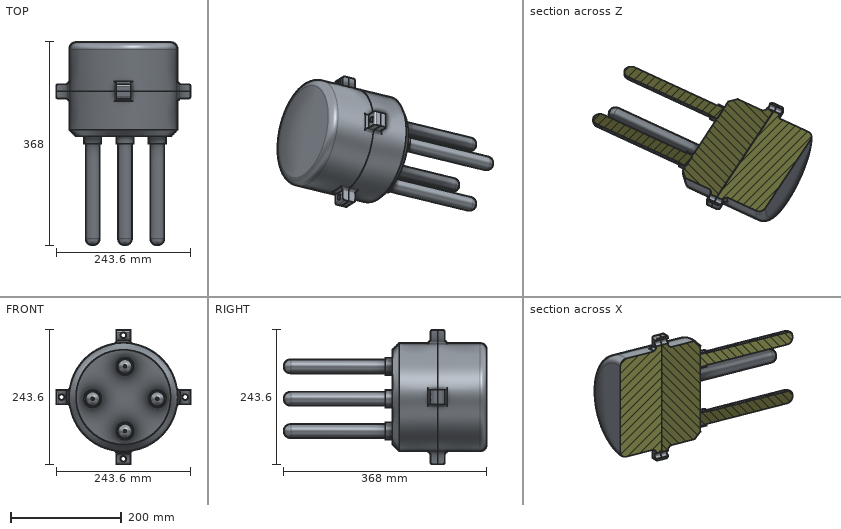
import cadquery as cq
import math


BODY_RADIUS = 98.2
REAR_LENGTH = 89.5
FRONT_LENGTH = 81.5
REAR_FILLET = 13.0
FRONT_CHAMFER = 12.5
FRONT_FACE_Y = -FRONT_LENGTH

LUG_COUNT = 4
LUG_TIP_RADIUS = 121.8
LUG_WIDTH = 26.0
LUG_LENGTH = LUG_WIDTH
LUG_TIP_FILLET = 4.0
LUG_ROOT_FILLET = 4.5
LUG_ROOT_CHAMFER = 4.8
LUG_HOLE_DIAMETER = 10.0
LUG_HOLE_INSET = 10.0

PIN_COUNT = 4
PIN_CIRCLE_RADIUS = 58.5
PIN_CIRCLE_OFFSET = 3.0
PIN_CIRCLE_X = PIN_CIRCLE_OFFSET
PIN_CIRCLE_Z = -PIN_CIRCLE_OFFSET
PIN_RADIUS = 13.0
PIN_EXPOSED_LENGTH = 184.0
PIN_HOLE_RADIUS = 2.5
COLLAR_DIAMETER = 32.0
COLLAR_LENGTH = 13.0
PIN_LENGTH = COLLAR_LENGTH + PIN_EXPOSED_LENGTH


def forward_cylinder(radius, length, start_y):
    """Cylinder on the housing axis that runs from start_y toward -Y."""
    return cq.Workplane("XZ", origin=(0, start_y, 0)).circle(radius).extrude(length)


def around_housing(shape):
    """Copies of a shape turned about the housing axis, one for each lug."""
    return [shape.rotate((0, 0, 0), (0, 1, 0), i * 360 / LUG_COUNT) for i in range(LUG_COUNT)]


def on_pin_axes(shape):
    """Copies of a shape built on the housing axis, one moved onto each pin axis."""
    angles = [i * 2 * math.pi / PIN_COUNT for i in range(PIN_COUNT)]
    return [
        shape.translate((
            PIN_CIRCLE_X + PIN_CIRCLE_RADIUS * math.cos(angle),
            0,
            PIN_CIRCLE_Z + PIN_CIRCLE_RADIUS * math.sin(angle),
        ))
        for angle in angles
    ]


def make_lug_prism(length):
    """Upper lug as a prism along Y, with fillets that run from its flanks into the housing wall."""
    half_width = LUG_WIDTH / 2
    center_distance = BODY_RADIUS + LUG_ROOT_FILLET
    center_x = half_width + LUG_ROOT_FILLET
    center_z = math.sqrt(center_distance**2 - center_x**2)
    foot_x = center_x * BODY_RADIUS / center_distance
    foot_z = center_z * BODY_RADIUS / center_distance
    wall_angle = math.atan2(center_z, center_x)
    mid_x = center_x - LUG_ROOT_FILLET * math.cos(wall_angle / 2)
    mid_z = center_z - LUG_ROOT_FILLET * math.sin(wall_angle / 2)
    return (
        cq.Workplane("XZ")
        .moveTo(-foot_x, 0)
        .lineTo(-foot_x, foot_z)
        .threePointArc((-mid_x, mid_z), (-half_width, center_z))
        .lineTo(-half_width, LUG_TIP_RADIUS)
        .lineTo(half_width, LUG_TIP_RADIUS)
        .lineTo(half_width, center_z)
        .threePointArc((mid_x, mid_z), (foot_x, foot_z))
        .lineTo(foot_x, 0)
        .close()
        .extrude(length / 2, both=True)
    )


def make_lug_envelope(half_length, half_foot):
    """Disc about the housing axis whose front and rear faces flare into the wall as chamfers."""
    chamfer_radius = BODY_RADIUS + LUG_ROOT_CHAMFER
    rim_radius = LUG_TIP_RADIUS + LUG_WIDTH
    return (
        cq.Workplane("XY")
        .moveTo(0, -half_foot)
        .lineTo(BODY_RADIUS, -half_foot)
        .lineTo(chamfer_radius, -half_length)
        .lineTo(rim_radius, -half_length)
        .lineTo(rim_radius, half_length)
        .lineTo(chamfer_radius, half_length)
        .lineTo(BODY_RADIUS, half_foot)
        .lineTo(0, half_foot)
        .close()
        .revolve(360, (0, 0, 0), (0, 1, 0))
    )


def make_lug():
    """Upper lug, from the housing axis outward, with a flared root and a rounded tip."""
    foot_length = LUG_LENGTH + 2 * LUG_ROOT_CHAMFER
    envelope = make_lug_envelope(LUG_LENGTH / 2, foot_length / 2)
    lug = make_lug_prism(foot_length).intersect(envelope)
    return lug.edges("|X and >Z").fillet(LUG_TIP_FILLET)


def make_lug_hole():
    """Cutter for the hole through the upper lug, parallel to the housing axis."""
    hole = forward_cylinder(LUG_HOLE_DIAMETER / 2, LUG_LENGTH, LUG_LENGTH / 2)
    return hole.translate((0, 0, LUG_TIP_RADIUS - LUG_HOLE_INSET))


def make_housing():
    """Whole housing with its lugs, before it is split into two shells."""
    housing = forward_cylinder(BODY_RADIUS, REAR_LENGTH + FRONT_LENGTH, REAR_LENGTH)
    housing = housing.faces(">Y").edges().fillet(REAR_FILLET)
    housing = housing.faces("<Y").edges().chamfer(FRONT_CHAMFER)
    for lug in around_housing(make_lug()):
        housing = housing.union(lug)
    for hole in around_housing(make_lug_hole()):
        housing = housing.cut(hole)
    return housing


def split_housing(housing):
    """Rear (+Y) and front (-Y) halves of the housing; the XZ workplane normal points to -Y."""
    on_joint = housing.copyWorkplane(cq.Workplane("XZ"))
    return on_joint.split(keepBottom=True), on_joint.split(keepTop=True)


def add_pin_collars(shell):
    """Front shell with a collar for each pin, bored down to the level of the front face."""
    for collar in on_pin_axes(forward_cylinder(COLLAR_DIAMETER / 2, COLLAR_LENGTH, FRONT_FACE_Y)):
        shell = shell.union(collar)
    for bore in on_pin_axes(forward_cylinder(PIN_RADIUS, COLLAR_LENGTH, FRONT_FACE_Y)):
        shell = shell.cut(bore)
    return shell


def make_pin():
    """Pin on the housing axis with a spherical tip and a small hole along its whole length."""
    sphere_y = FRONT_FACE_Y - PIN_LENGTH + math.sqrt(PIN_RADIUS**2 - PIN_HOLE_RADIUS**2)
    tip_y = sphere_y - PIN_RADIUS
    pin = (
        cq.Workplane("XY")
        .moveTo(0, FRONT_FACE_Y)
        .lineTo(PIN_RADIUS, FRONT_FACE_Y)
        .lineTo(PIN_RADIUS, sphere_y)
        .radiusArc((0, tip_y), PIN_RADIUS)
        .close()
        .revolve(360, (0, 0, 0), (0, 1, 0))
    )
    hole = forward_cylinder(PIN_HOLE_RADIUS, FRONT_FACE_Y - tip_y, FRONT_FACE_Y)
    return pin.cut(hole)


rear_shell, plain_front_shell = split_housing(make_housing())
front_shell = add_pin_collars(plain_front_shell)
pins = on_pin_axes(make_pin())

result = cq.Compound.makeCompound([
    rear_shell.val(),
    front_shell.val(),
    *[pin.val() for pin in pins],
])